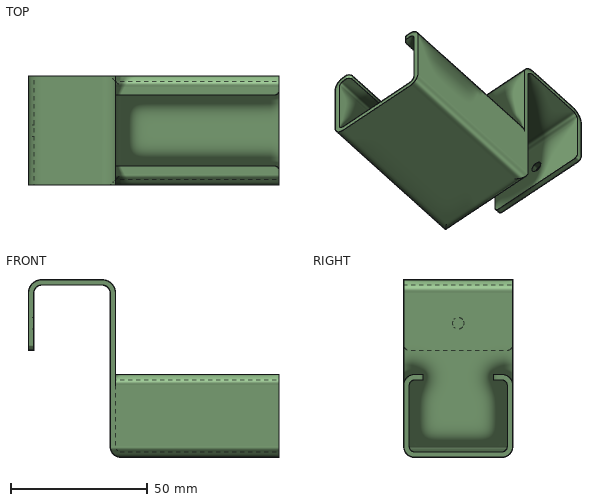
import cadquery as cq

length = 92.0
width = 40.0
height = 65.2
sheet = 2.0

hook_span = 32.0
hook_radius = 5.0
leg_length = 25.9
leg_corner_radius = 2.0
hole_diameter = 4.2
hole_depth_from_top = 16.0

channel_height = 30.45
channel_radius = 4.05
lip_width = 7.0
lip_corner_radius = 1.75

wall_back = hook_span
wall_front = hook_span - sheet


def box_between(x0, x1, y_size, z0, z1):
    """Box centred on Y between the given X and Z limits."""
    block = cq.Workplane("XY").box(x1 - x0, y_size, z1 - z0, centered=(False, True, False))
    return block.translate((x0, 0, z0))


def rounded_trough(x0, y_size, z0, z1, radius):
    """Block with rounded long edges and a rounded lower edge at its wall end."""
    bar = box_between(x0, length, y_size, z0, z1).edges("|X").fillet(radius)
    end_profile = box_between(x0, length, y_size, z0, z1).edges("|Y and <X and <Z").fillet(radius)
    return bar.intersect(end_profile)


def make_hook():
    """Inverted U whose long leg is the wall shared with the channel."""
    outer = box_between(0, wall_back, width, channel_radius, height)
    outer = outer.edges("|Y and >Z").fillet(hook_radius)
    inner = box_between(sheet, wall_front, width, 0, height - sheet)
    inner = inner.edges("|Y and >Z").fillet(hook_radius - sheet)
    below_leg = box_between(0, sheet, width, 0, height - leg_length)
    hook = outer.cut(inner).cut(below_leg)
    leg_corners = cq.selectors.BoxSelector(
        (-sheet, -width, height - leg_length - sheet),
        (2 * sheet, width, height - leg_length + sheet),
    )
    hook = hook.edges(leg_corners).edges("|X").fillet(leg_corner_radius)
    hole = (
        cq.Workplane("YZ")
        .center(0, height - hole_depth_from_top)
        .circle(hole_diameter / 2)
        .extrude(sheet)
    )
    return hook.cut(hole)


def make_channel():
    """Open-ended C channel with inward lips and a slot along its top."""
    outer = rounded_trough(wall_front, width, 0, channel_height, channel_radius)
    cavity_radius = channel_radius - sheet
    cavity = rounded_trough(wall_back, width - 2 * sheet, sheet, channel_height - sheet, cavity_radius)
    slot_width = width - 2 * lip_width
    slot = box_between(wall_back, length, slot_width, channel_height - sheet, channel_height)
    channel = outer.cut(cavity).cut(slot)
    lip_corners = cq.selectors.BoxSelector(
        (length - sheet, -slot_width / 2 - sheet, channel_height - sheet),
        (length + sheet, slot_width / 2 + sheet, channel_height),
    )
    return channel.edges(lip_corners).edges("|Z").fillet(lip_corner_radius)


result = make_hook().union(make_channel())